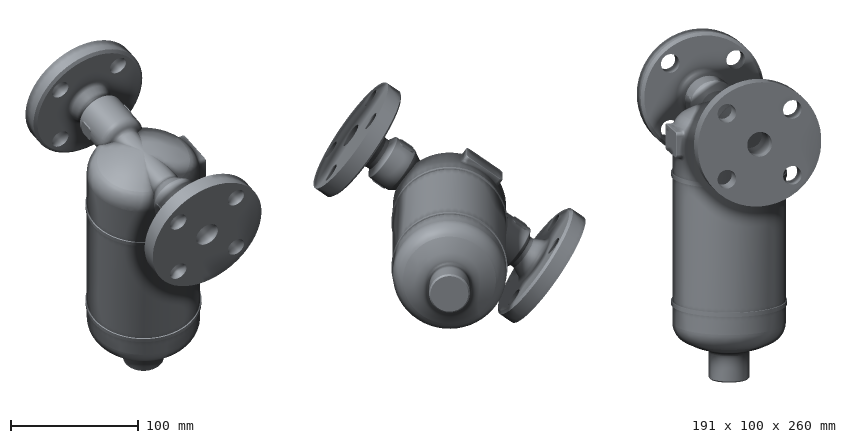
import cadquery as cq
import math


pipe_length = 191.0
end_x = pipe_length / 2

flange_radius = 100.0 / 2
flange_thickness = 14.0
flange_chamfer_length = 1.8
flange_chamfer_depth = 2.5
bolt_circle_diameter = 75.0
bolt_hole_diameter = 15.0
bolt_count = 4
first_bolt_angle = 45
bore_diameter = 20.0


hub_taper_start = 16.3
hub_taper_end = 24.2
hub_radius = 17.5
neck_radius = 27.2 / 2
neck_end = 27.4
bevel_angle = math.radians(57)
bevel_round = 0.8
socket_radius = 38.0 / 2

inlet_socket_end = 60.9
shoulder_angle = math.radians(60)
shoulder_round = 8.0
shoulder_fillet = 4.0
outlet_socket_end = 48.6
outlet_taper_angle = math.radians(30)

pad_center = 40.6
pad_length = 12.5
pad_height = 12.0
pad_corner_radius = 2.5
pad_distance = 19.05

vessel_bottom_z = -210.0
body_radius = 89.0 / 2
knuckle_radius = 16.0
crown_radius = 73.6
top_knuckle_z = -10.6
bottom_knuckle_z = -164.7
bead_radius = 45.5
bead_width = 3.3
bead_centers_z = (-44.9, -148.4)
drain_radius = 32.0 / 2
drain_fillet = 2.5
drain_chamfer = 1.2

boss_width = 35.0
boss_back_y = 47.2
boss_top_z = -5.5
boss_bottom_z = -26.5
boss_corner_radius = 3.0
boss_rim_fillet = 0.6
boss_root_fillet = 2.4
root_margin = 0.5

bevel_top_radius = socket_radius - bevel_round * (1 - math.cos(bevel_angle))
bevel_end = neck_end + (bevel_top_radius - neck_radius) / math.tan(bevel_angle)
socket_start = bevel_end + bevel_round * math.sin(bevel_angle)

knuckle_center_radius = body_radius - knuckle_radius
crown_half_angle = math.asin(knuckle_center_radius / (crown_radius - knuckle_radius))
crown_drop = (crown_radius - knuckle_radius) * math.cos(crown_half_angle)
head_height = crown_radius - crown_drop
seam_radius = crown_radius * math.sin(crown_half_angle)
seam_height = knuckle_radius * math.cos(crown_half_angle)
knuckle_mid_angle = (math.pi / 2 - crown_half_angle) / 2
knuckle_mid_radius = knuckle_center_radius + knuckle_radius * math.cos(knuckle_mid_angle)
knuckle_mid_height = knuckle_radius * math.sin(knuckle_mid_angle)
crown_mid_radius = crown_radius * math.sin(crown_half_angle / 2)
crown_mid_height = crown_radius * math.cos(crown_half_angle / 2) - crown_drop

pipe_radius = top_knuckle_z + head_height


def make_vessel():
    """Revolve the shell with its two domed heads, then add the drain nozzle."""
    vessel = (
        cq.Workplane("XZ")
        .moveTo(0, bottom_knuckle_z - head_height)
        .threePointArc(
            (crown_mid_radius, bottom_knuckle_z - crown_mid_height),
            (seam_radius, bottom_knuckle_z - seam_height),
        )
        .threePointArc(
            (knuckle_mid_radius, bottom_knuckle_z - knuckle_mid_height),
            (body_radius, bottom_knuckle_z),
        )
        .lineTo(body_radius, top_knuckle_z)
        .threePointArc(
            (knuckle_mid_radius, top_knuckle_z + knuckle_mid_height),
            (seam_radius, top_knuckle_z + seam_height),
        )
        .threePointArc(
            (crown_mid_radius, top_knuckle_z + crown_mid_height),
            (0, top_knuckle_z + head_height),
        )
        .close()
        .revolve(360, (0, 0, 0), (0, 1, 0))
    )
    drain = (
        cq.Workplane("XY", origin=(0, 0, vessel_bottom_z))
        .circle(drain_radius)
        .extrude(bottom_knuckle_z - vessel_bottom_z)
        .faces("<Z")
        .chamfer(drain_chamfer)
    )
    vessel = vessel.union(drain)
    root_height = math.sqrt(crown_radius**2 - drain_radius**2) - crown_drop
    root_center = (0, 0, bottom_knuckle_z - root_height)
    return vessel.edges(cq.NearestToPointSelector(root_center)).fillet(drain_fillet)


def add_beads(vessel):
    """Add the raised weld beads around the shell."""
    for bead_z in bead_centers_z:
        bead = (
            cq.Workplane("XY", origin=(0, 0, bead_z))
            .circle(bead_radius)
            .extrude(bead_width / 2, both=True)
        )
        vessel = vessel.union(bead)
    return vessel


def add_boss(vessel):
    """Add the rounded nameplate boss and blend its root into the vessel."""
    boss = (
        cq.Workplane("XZ", origin=(0, boss_back_y, (boss_top_z + boss_bottom_z) / 2))
        .rect(boss_width, boss_top_z - boss_bottom_z)
        .extrude(boss_back_y - knuckle_center_radius)
        .edges("|Y")
        .fillet(boss_corner_radius)
        .faces(">Y")
        .edges()
        .fillet(boss_rim_fillet)
    )
    joined = vessel.union(boss)
    root_edges = cq.selectors.BoxSelector(
        (-boss_width / 2 - root_margin, knuckle_center_radius, boss_bottom_z - root_margin),
        (boss_width / 2 + root_margin, body_radius + root_margin / 2, boss_top_z + root_margin),
        boundingbox=True,
    )
    return joined.edges(root_edges).fillet(boss_root_fillet)


def start_end_profile():
    """Half profile from the flange face, over the hub and neck, to the socket start."""
    taper = math.atan2(hub_radius - neck_radius, hub_taper_end - hub_taper_start)
    fillet_radius = (hub_taper_start - flange_thickness) / (1 - math.sin(taper))
    fillet_top = hub_radius + fillet_radius * math.cos(taper)
    fillet_mid_angle = (math.pi / 2 - taper) / 2
    fillet_mid = (
        flange_thickness + fillet_radius * (1 - math.cos(fillet_mid_angle)),
        fillet_top - fillet_radius * math.sin(fillet_mid_angle),
    )
    bevel_mid = (
        socket_start - bevel_round * math.sin(bevel_angle / 2),
        socket_radius - bevel_round * (1 - math.cos(bevel_angle / 2)),
    )
    return (
        cq.Workplane("XY")
        .moveTo(0, 0)
        .lineTo(0, flange_radius)
        .lineTo(flange_thickness - flange_chamfer_length, flange_radius)
        .lineTo(flange_thickness, flange_radius - flange_chamfer_depth)
        .lineTo(flange_thickness, fillet_top)
        .threePointArc(fillet_mid, (hub_taper_start, hub_radius))
        .lineTo(hub_taper_end, neck_radius)
        .lineTo(neck_end, neck_radius)
        .lineTo(bevel_end, bevel_top_radius)
        .threePointArc(bevel_mid, (socket_start, socket_radius))
    )


def finish_end_profile(profile):
    """Run the pipe to the middle and revolve the end about the pipe axis."""
    return (
        profile.lineTo(end_x, pipe_radius)
        .lineTo(end_x, 0)
        .close()
        .revolve(360, (0, 0, 0), (1, 0, 0))
    )


def make_inlet():
    """Flanged end whose long socket curves down to the pipe."""
    round_end = inlet_socket_end + shoulder_round * math.sin(shoulder_angle)
    round_end_radius = socket_radius - shoulder_round * (1 - math.cos(shoulder_angle))
    fillet_end = round_end + shoulder_fillet * math.sin(shoulder_angle)
    half_angle = shoulder_angle / 2
    round_mid = (
        inlet_socket_end + shoulder_round * math.sin(half_angle),
        socket_radius - shoulder_round * (1 - math.cos(half_angle)),
    )
    fillet_mid = (
        fillet_end - shoulder_fillet * math.sin(half_angle),
        pipe_radius + shoulder_fillet * (1 - math.cos(half_angle)),
    )
    profile = (
        start_end_profile()
        .lineTo(inlet_socket_end, socket_radius)
        .threePointArc(round_mid, (round_end, round_end_radius))
        .threePointArc(fillet_mid, (fillet_end, pipe_radius))
    )
    return finish_end_profile(profile).translate((-end_x, 0, 0))


def make_outlet():
    """Flanged end whose short socket tapers straight down to the pipe."""
    taper_length = (socket_radius - pipe_radius) / math.tan(outlet_taper_angle)
    profile = (
        start_end_profile()
        .lineTo(outlet_socket_end, socket_radius)
        .lineTo(outlet_socket_end + taper_length, pipe_radius)
    )
    return finish_end_profile(profile).mirror("YZ").translate((end_x, 0, 0))


def add_pads(part, side):
    """Add the front and back pads of one socket (side is -1 or 1)."""
    pads = (
        cq.Workplane("XZ", origin=(side * (end_x - pad_center), 0, 0))
        .rect(pad_length, pad_height)
        .extrude(pad_distance, both=True)
        .edges("|Y")
        .fillet(pad_corner_radius)
    )
    return part.union(pads)


def cut_holes(part, side):
    """Cut the bore and bolt holes of one end (side is -1 or 1)."""
    flange_face = cq.Workplane("YZ", origin=(side * end_x, 0, 0))
    bore = flange_face.circle(bore_diameter / 2).extrude(-side * socket_start)
    bolt_holes = (
        flange_face.polarArray(bolt_circle_diameter / 2, first_bolt_angle, 360, bolt_count)
        .circle(bolt_hole_diameter / 2)
        .extrude(-side * flange_thickness)
    )
    return part.cut(bore).cut(bolt_holes)


vessel = add_boss(add_beads(make_vessel()))
part = vessel.union(make_inlet().union(make_outlet()))
for side in (-1, 1):
    part = add_pads(part, side)
    part = cut_holes(part, side)

result = part